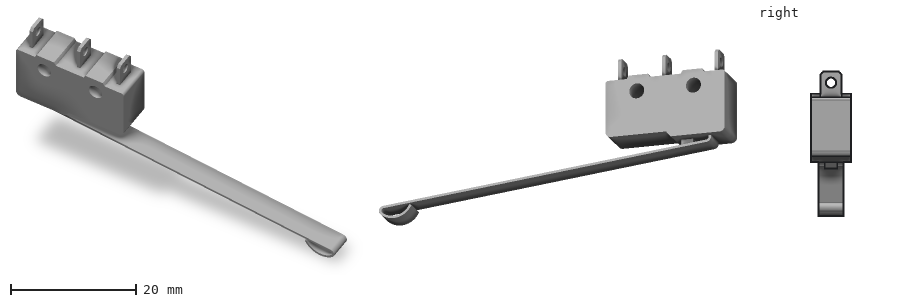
import cadquery as cq
import math

body_length = 20.0
body_width = 6.4
body_top = 2.15
body_bottom = -8.2
raised_bottom = -7.3
step_start = 9.05
step_end = 9.85
top_corner_radius = 0.45
bottom_corner_radius = 0.9

hole_diameter = 2.5
hole_spacing = 9.5
first_hole_x = (body_length - hole_spacing) / 2

pad_height = 0.55
pad_base_length = 3.9
pad_slope_run = 0.35
pad_starts = (3.5, 12.55)

terminal_centres = (1.9, 10.7, 18.1)
terminal_thickness = 0.6
terminal_width = 3.4
terminal_top = 6.25
terminal_chamfer = 0.5
terminal_hole_diameter = 1.6
terminal_hole_drop = 1.8

plunger_centre = 7.0
plunger_length = 2.0
plunger_width = 2.0
plunger_drop = 1.05
plunger_radius = 0.25

overall_length = 58.34
overall_height = 23.08
lever_width = 4.0
lever_thickness = 0.4
lever_angle = math.radians(6.0)
lever_root_x = 2.7
lever_bend_radius = 0.8
lever_bend_drop = 0.31
curl_end_radius = 0.8
curl_bow_radius = 3.3
curl_tip_angle = math.radians(205)


def point_on_arc(centre, radius, angle):
    return (centre[0] + radius * math.cos(angle), centre[1] + radius * math.sin(angle))


def extrude_across(outline, width):
    """Extrude an XZ outline symmetrically about the middle plane Y = 0."""
    return outline.extrude(width / 2, both=True)


def make_body():
    outline = (
        cq.Workplane("XZ")
        .moveTo(0, body_top)
        .lineTo(body_length, body_top)
        .lineTo(body_length, raised_bottom)
        .lineTo(step_end, raised_bottom)
        .lineTo(step_start, body_bottom)
        .lineTo(0, body_bottom)
        .close()
    )
    body = extrude_across(outline, body_width)
    body = body.edges("|Y and >Z").fillet(top_corner_radius)
    body = body.edges("|Y and <Z and <X").fillet(bottom_corner_radius)
    right_corner = cq.selectors.NearestToPointSelector((body_length, 0, raised_bottom))
    return body.edges(right_corner).fillet(bottom_corner_radius)


def make_pad(start):
    end = start + pad_base_length
    outline = (
        cq.Workplane("XZ")
        .moveTo(start, body_top)
        .lineTo(start + pad_slope_run, body_top + pad_height)
        .lineTo(end - pad_slope_run, body_top + pad_height)
        .lineTo(end, body_top)
        .close()
    )
    return extrude_across(outline, body_width)


def make_terminal(centre_x):
    height = terminal_top - body_top
    terminal = (
        cq.Workplane("XY", origin=(centre_x, 0, body_top))
        .rect(terminal_thickness, terminal_width)
        .extrude(height)
        .edges("|X and >Z")
        .chamfer(terminal_chamfer)
    )
    hole = (
        cq.Workplane("YZ", origin=(centre_x, 0, terminal_top - terminal_hole_drop))
        .circle(terminal_hole_diameter / 2)
        .extrude(terminal_thickness, both=True)
    )
    return terminal.cut(hole)


def make_plunger():
    return (
        cq.Workplane("XY", origin=(plunger_centre, 0, body_bottom))
        .rect(plunger_length, plunger_width)
        .extrude(-plunger_drop)
        .edges("|Y and <Z")
        .fillet(plunger_radius)
    )


def make_lever():
    under_normal = -math.pi / 2 - lever_angle
    upper_normal = under_normal + math.pi

    bend_centre = (lever_root_x + lever_bend_radius, body_bottom - lever_bend_drop)
    bend_middle = (math.pi + under_normal + 2 * math.pi) / 2
    bend_inner_radius = lever_bend_radius - lever_thickness

    top_start = point_on_arc(bend_centre, bend_inner_radius, under_normal)
    end_x = overall_length - curl_end_radius
    run_to_end = end_x + curl_end_radius * math.cos(upper_normal) - top_start[0]
    end_z = top_start[1] - run_to_end * math.tan(lever_angle) - curl_end_radius * math.sin(upper_normal)
    end_centre = (end_x, end_z)

    bow_z = terminal_top - overall_height + curl_bow_radius
    centre_distance = curl_bow_radius - curl_end_radius
    blend_angle = math.asin((end_z - bow_z) / centre_distance)
    bow_centre = (end_x - centre_distance * math.cos(blend_angle), bow_z)

    end_middle = (upper_normal + blend_angle) / 2
    bow_finish = curl_tip_angle - 2 * math.pi
    bow_middle = (blend_angle + bow_finish) / 2
    end_inner_radius = curl_end_radius - lever_thickness
    bow_inner_radius = curl_bow_radius - lever_thickness

    outline = (
        cq.Workplane("XZ")
        .moveTo(lever_root_x, body_bottom)
        .lineTo(lever_root_x, bend_centre[1])
        .threePointArc(
            point_on_arc(bend_centre, lever_bend_radius, bend_middle),
            point_on_arc(bend_centre, lever_bend_radius, under_normal),
        )
        .lineTo(*point_on_arc(end_centre, end_inner_radius, upper_normal))
        .threePointArc(
            point_on_arc(end_centre, end_inner_radius, end_middle),
            point_on_arc(end_centre, end_inner_radius, blend_angle),
        )
        .threePointArc(
            point_on_arc(bow_centre, bow_inner_radius, bow_middle),
            point_on_arc(bow_centre, bow_inner_radius, bow_finish),
        )
        .lineTo(*point_on_arc(bow_centre, curl_bow_radius, bow_finish))
        .threePointArc(
            point_on_arc(bow_centre, curl_bow_radius, bow_middle),
            point_on_arc(bow_centre, curl_bow_radius, blend_angle),
        )
        .threePointArc(
            point_on_arc(end_centre, curl_end_radius, end_middle),
            point_on_arc(end_centre, curl_end_radius, upper_normal),
        )
        .lineTo(*top_start)
        .threePointArc(
            point_on_arc(bend_centre, bend_inner_radius, bend_middle),
            point_on_arc(bend_centre, bend_inner_radius, math.pi),
        )
        .lineTo(lever_root_x + lever_thickness, body_bottom)
        .close()
    )
    return extrude_across(outline, lever_width)


def make_mounting_holes():
    return (
        cq.Workplane("XZ")
        .pushPoints([(first_hole_x, 0), (first_hole_x + hole_spacing, 0)])
        .circle(hole_diameter / 2)
        .extrude(body_width, both=True)
    )


part = make_body()
for pad_start in pad_starts:
    part = part.union(make_pad(pad_start))
for terminal_centre in terminal_centres:
    part = part.union(make_terminal(terminal_centre))
part = part.union(make_plunger())
part = part.union(make_lever())
result = part.cut(make_mounting_holes())